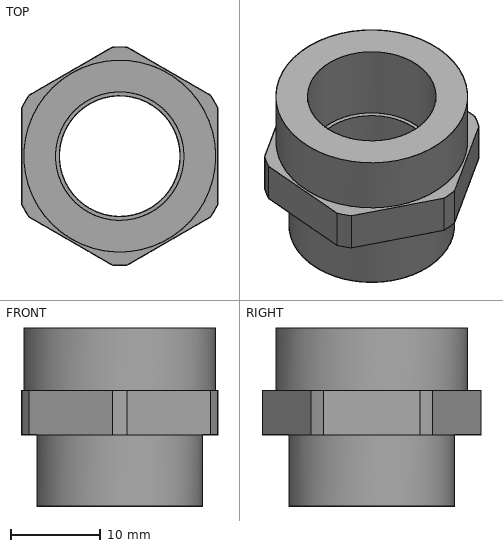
import cadquery as cq

spigot_diameter = 18.6
spigot_height = 8.0
hex_across_flats = 22.0
hex_corner_diameter = 24.5
hex_height = 5.0
flat_pair_angles = (0, 60, 120)
collar_diameter = 21.5
collar_height = 7.0
through_bore_diameter = 13.5
counterbore_diameter = 14.4
counterbore_depth = 9.5

hex_base = spigot_height
collar_base = hex_base + hex_height
total_height = collar_base + collar_height


def cylinder(diameter, height, base):
    """Solid cylinder on the Z axis, starting at the given base height."""
    return cq.Workplane("XY").workplane(offset=base).circle(diameter / 2).extrude(height)


def wrench_hexagon():
    """Hexagon with two flats facing +X and -X and its corners turned to a round."""
    hexagon = cylinder(hex_corner_diameter, hex_height, hex_base)
    for flat_angle in flat_pair_angles:
        flat_pair = (
            cq.Workplane("XY")
            .workplane(offset=hex_base)
            .rect(hex_across_flats, 2 * hex_corner_diameter)
            .extrude(hex_height)
            .rotate((0, 0, 0), (0, 0, 1), flat_angle)
        )
        hexagon = hexagon.intersect(flat_pair)
    return hexagon


def outer_body():
    """Lower spigot, wrench hexagon and upper collar, stacked along Z."""
    spigot = cylinder(spigot_diameter, spigot_height, 0)
    collar = cylinder(collar_diameter, collar_height, collar_base)
    return spigot.union(wrench_hexagon()).union(collar)


def stepped_bore():
    """Through bore with a wider counterbore sunk from the top face."""
    through_bore = cylinder(through_bore_diameter, total_height, 0)
    counterbore = cylinder(counterbore_diameter, counterbore_depth, total_height - counterbore_depth)
    return through_bore.union(counterbore)


result = outer_body().cut(stepped_bore())